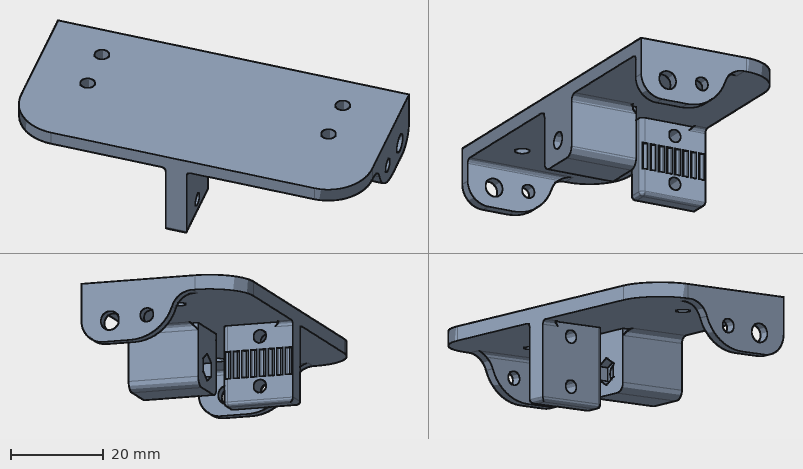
import cadquery as cq
import math

LENGTH = 79.7
DEPTH = 35.9
PLATE_T = 3.2
CORNER_R = 10.0
FRONT = -DEPTH / 2
BACK = DEPTH / 2

SCREW_D = 3.2
SCREW_X = 27.3
SCREW_BACK_Y = 10.05
SCREW_SPACING = 10.0

EAR_T = 2.5
EAR_BOTTOM = -13.2
EAR_BACK_R = 5.0
EAR_FRONT_R = 10.0
EAR_FRONT_CENTRE_Y = 6.6
EAR_BLEND_R = 4.9
PIVOT_D = 4.15
PIVOT_Y = 11.4
PIVOT_Z = -8.6
PIN_D = 3.0
PIN_Y = 2.95
PIN_Z = -8.0

TAB_DEPTH = 15.95
WEB_LEFT = -3.8
WEB_T = 4.8
WEB_BOTTOM = -21.0
EDGE_R = 0.95
CLAMP_D = 2.9
CLAMP_Y = -10.4
CLAMP_Z = (-6.05, -17.05)

GROOVE_COUNT = 8
GROOVE_PITCH = TAB_DEPTH / GROOVE_COUNT
GROOVE_HALF_W = 0.7
GROOVE_FLOOR_HALF_W = 0.5
GROOVE_WALL_DEPTH = 0.4
GROOVE_ARC_DEPTH = 0.6
GROOVE_DEPTH = 0.7
GROOVE_TOP = -8.9
GROOVE_HEIGHT = 6.0

BLOCK_LEFT = -8.85
BLOCK_W = 12.0
BLOCK_BOTTOM = -17.05
BLOCK_FRONT = BACK - TAB_DEPTH
BLOCK_R = 2.1
BOLT_X = BLOCK_LEFT + BLOCK_W / 2
BOLT_Z = -11.8
BOLT_D = 3.75
NUT_FLATS = 5.2
NUT_DEPTH = 2.4

ROOT_R = 0.95
BLOCK_ROOT_R = 1.5
WEB_ROOT_LENGTH = 4.1

ARC_MIDPOINT = 1 - math.sqrt(0.5)


def box(x, y, z, dx, dy, dz):
    """Box with its lowest corner at (x, y, z)."""
    return cq.Workplane("XY").box(dx, dy, dz, centered=False).translate((x, y, z))


def root_profile(x, side, radius):
    """Concave fillet section beside the wall at x; side is the outward X direction."""
    tip = radius * ARC_MIDPOINT
    return (
        cq.Workplane("XZ")
        .moveTo(x, -PLATE_T)
        .lineTo(x + side * radius, -PLATE_T)
        .threePointArc((x + side * tip, -PLATE_T - tip), (x, -PLATE_T - radius))
        .close()
    )


def root_fillet(x, side, radius, outer_y, inner_y):
    """Root fillet from outer_y to inner_y, its inner end sloping back at 45 degrees."""
    strip = root_profile(x, side, radius).extrude(-(inner_y - outer_y)).translate((0, outer_y, 0))
    slope = math.copysign(radius, inner_y - outer_y)
    limits = (
        cq.Workplane("YZ")
        .polyline([
            (outer_y, -PLATE_T),
            (inner_y - slope, -PLATE_T),
            (inner_y, -PLATE_T - radius),
            (outer_y, -PLATE_T - radius),
        ])
        .close()
        .extrude(LENGTH / 2, both=True)
    )
    return strip.intersect(limits)


def make_plate():
    plate = box(-LENGTH / 2, FRONT, -PLATE_T, LENGTH, DEPTH, PLATE_T)
    plate = plate.edges("|Z and <Y").fillet(CORNER_R)
    screws = [(sx * SCREW_X, SCREW_BACK_Y - row * SCREW_SPACING) for sx in (-1, 1) for row in (0, 1)]
    drills = cq.Workplane("XY").pushPoints(screws).circle(SCREW_D / 2).extrude(-PLATE_T)
    return plate.cut(drills)


def make_left_ear():
    convex_z = EAR_BOTTOM + EAR_FRONT_R
    concave_z = -PLATE_T - EAR_BLEND_R
    radius_sum = EAR_FRONT_R + EAR_BLEND_R
    centre_gap = math.sqrt(radius_sum ** 2 - (convex_z - concave_z) ** 2)
    concave_y = EAR_FRONT_CENTRE_Y - centre_gap
    share = EAR_FRONT_R / radius_sum
    meet = (EAR_FRONT_CENTRE_Y - share * centre_gap, convex_z + share * (concave_z - convex_z))
    corner = EAR_BACK_R * ARC_MIDPOINT

    half_turn = math.atan2(meet[0] - EAR_FRONT_CENTRE_Y, convex_z - meet[1]) / 2
    convex_mid = (
        EAR_FRONT_CENTRE_Y + EAR_FRONT_R * math.sin(half_turn),
        convex_z - EAR_FRONT_R * math.cos(half_turn),
    )
    concave_mid = (
        concave_y - EAR_BLEND_R * math.sin(half_turn),
        concave_z + EAR_BLEND_R * math.cos(half_turn),
    )
    ear = (
        cq.Workplane("YZ", origin=(-LENGTH / 2, 0, 0))
        .moveTo(BACK, -PLATE_T)
        .lineTo(BACK, EAR_BOTTOM + EAR_BACK_R)
        .threePointArc((BACK - corner, EAR_BOTTOM + corner), (BACK - EAR_BACK_R, EAR_BOTTOM))
        .lineTo(EAR_FRONT_CENTRE_Y, EAR_BOTTOM)
        .threePointArc(convex_mid, meet)
        .threePointArc(concave_mid, (concave_y, -PLATE_T))
        .close()
        .extrude(EAR_T + ROOT_R)
    )

    inner_x = EAR_T - LENGTH / 2
    section = box(-LENGTH / 2, FRONT, EAR_BOTTOM, EAR_T, DEPTH, -EAR_BOTTOM)
    section = section.union(root_profile(inner_x, 1, ROOT_R).extrude(DEPTH / 2, both=True))
    ear = ear.intersect(section)

    for y, z, diameter in ((PIVOT_Y, PIVOT_Z, PIVOT_D), (PIN_Y, PIN_Z, PIN_D)):
        drill = cq.Workplane("YZ", origin=(-LENGTH / 2, y, z)).circle(diameter / 2).extrude(EAR_T)
        ear = ear.cut(drill)
    return ear


def make_groove(y):
    """Vertical belt tooth groove: short steep walls and a floor of two arcs meeting at a centre line."""
    arc_y = GROOVE_FLOOR_HALF_W / 2
    return (
        cq.Workplane("XY", origin=(WEB_LEFT, y, GROOVE_TOP))
        .moveTo(0, -GROOVE_HALF_W)
        .lineTo(GROOVE_WALL_DEPTH, -GROOVE_FLOOR_HALF_W)
        .threePointArc((GROOVE_ARC_DEPTH, -arc_y), (GROOVE_DEPTH, 0))
        .threePointArc((GROOVE_ARC_DEPTH, arc_y), (GROOVE_WALL_DEPTH, GROOVE_FLOOR_HALF_W))
        .lineTo(0, GROOVE_HALF_W)
        .close()
        .extrude(-GROOVE_HEIGHT)
    )


def make_web():
    web = box(WEB_LEFT, FRONT, WEB_BOTTOM, WEB_T, TAB_DEPTH, -WEB_BOTTOM - PLATE_T)
    web = web.edges("<Z or (|Z and >Y)").fillet(EDGE_R)
    for index in range(GROOVE_COUNT):
        web = web.cut(make_groove(FRONT + (index + 0.5) * GROOVE_PITCH))
    for z in CLAMP_Z:
        drill = cq.Workplane("YZ", origin=(WEB_LEFT, CLAMP_Y, z)).circle(CLAMP_D / 2).extrude(WEB_T)
        web = web.cut(drill)
    for x, side in ((WEB_LEFT, -1), (WEB_LEFT + WEB_T, 1)):
        web = web.union(root_fillet(x, side, ROOT_R, FRONT, FRONT + WEB_ROOT_LENGTH))
    return web


def make_nut_block():
    block = box(BLOCK_LEFT, BLOCK_FRONT, BLOCK_BOTTOM, BLOCK_W, TAB_DEPTH, -BLOCK_BOTTOM - PLATE_T)
    block = block.edges("|Y and <Z").fillet(BLOCK_R)
    axis = cq.Workplane("XZ", origin=(BOLT_X, BLOCK_FRONT, BOLT_Z))
    block = block.cut(axis.circle(BOLT_D / 2).extrude(-TAB_DEPTH))
    corner_diameter = NUT_FLATS / math.cos(math.pi / 6)
    nut = axis.transformed(rotate=(0, 0, 30)).polygon(6, corner_diameter).extrude(-NUT_DEPTH)
    block = block.cut(nut)
    for x, side in ((BLOCK_LEFT, -1), (BLOCK_LEFT + BLOCK_W, 1)):
        block = block.union(root_fillet(x, side, BLOCK_ROOT_R, BACK, BLOCK_FRONT))
    return block


left_ear = make_left_ear()
result = make_plate().union(left_ear).union(left_ear.mirror("YZ"))
result = result.union(make_web()).union(make_nut_block())